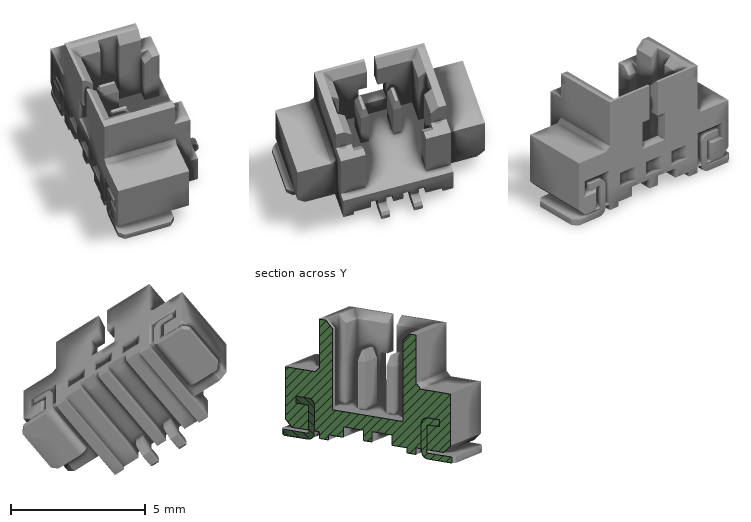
import cadquery as cq

body_half_width = 2.135
housing_half_width = 3.63
housing_top = 4.7
housing_bottom = 0.1
housing_depth = 3.7

ear_depth = 2.8
ear_top = 2.655
ear_bottom = 0.35
ear_bevel = 0.18
ear_corner_chamfer = 0.3

back_wall_y = 3.4
back_wall_top = 3.69
floor_z = 1.3

wall = 0.3
rib_projection = 0.3
lip_chamfer = 0.3
front_wall = 0.405
front_rib_end = 1.2
back_rib_start = 1.95
back_opening_half_width = 1.17
cavity_half_width = body_half_width - wall
rib_half_gap = cavity_half_width - rib_projection

slot_half_width = 0.2
window_half_width = 0.54
window_bottom = 2.11
window_top = 3.26

standoff_width = 0.42
underside_z = 0.3
tail_notch_pitch = 1.25
tail_notch_width = 0.86
tail_notch_top = 0.695

contact_pitch = 1.26
contact_width = 0.32
contact_xs = [-contact_pitch / 2, contact_pitch / 2]

recess_pitch = 1.25
recess_offset = 0.02
recess_width = 0.82
recess_flat_width = 0.51
recess_bottom = 0.9
recess_top = 1.5
recess_depth = 0.2

blade_front = 0.73
blade_depth = 0.8
blade_shoulder = 3.14
blade_tip = 3.54
blade_taper = 0.11

tail_front = 3.18
tail_end = 4.2
tail_height = 0.44
tail_slope_length = 0.41
tail_slope_height = 0.24
tail_end_chamfer = 0.11

clip_thickness = 0.245
clip_reach = 3.825
clip_web_x = 2.35
clip_arm_end = 3.145
clip_top = 1.575
clip_depth = 2.195
clip_inner_radius = 0.05
clip_outer_radius = clip_inner_radius + clip_thickness
clip_foot_chamfer = 0.2
clip_flare = 0.215


def box(x0, x1, y0, y1, z0, z1):
    """Box between two opposite corners."""
    return cq.Workplane("XY").box(x1 - x0, y1 - y0, z1 - z0, centered=False).translate((x0, y0, z0))


def both_sides(shape):
    """The shape together with its mirror image across the middle plane."""
    return shape.union(shape.mirror("YZ"))


def along_y(points, y0, y1):
    """Closed outline of (x, z) points, extruded from y0 to y1."""
    return cq.Workplane("XZ", origin=(0, y0, 0)).polyline(points).close().extrude(y0 - y1)


def along_x(points, x0, x1):
    """Closed outline of (y, z) points, extruded from x0 to x1."""
    return cq.Workplane("YZ", origin=(x0, 0, 0)).polyline(points).close().extrude(x1 - x0)


def housing_block():
    """Stepped central body with a chamfered ear on each side."""
    profile = [
        (0, housing_bottom),
        (housing_depth, housing_bottom),
        (housing_depth, floor_z),
        (back_wall_y, floor_z),
        (back_wall_y, back_wall_top),
        (ear_depth, back_wall_top),
        (ear_depth, housing_top),
        (0, housing_top),
    ]
    body = along_x(profile, -body_half_width, body_half_width)
    ear_outline = [
        (0, ear_bottom),
        (housing_half_width - ear_corner_chamfer, ear_bottom),
        (housing_half_width, ear_bottom + ear_corner_chamfer),
        (housing_half_width, ear_top),
        (body_half_width + ear_bevel, ear_top),
        (body_half_width, ear_top + ear_bevel),
        (0, ear_top + ear_bevel),
    ]
    return body.union(both_sides(along_y(ear_outline, 0, ear_depth)))


def cavity():
    """Open-backed cavity with a lead-in chamfer on its ribs, front wall and back walls."""
    space = box(-rib_half_gap, rib_half_gap, front_wall, ear_depth, floor_z, housing_top)
    space = space.union(
        box(-cavity_half_width, cavity_half_width, front_rib_end, back_rib_start, floor_z, housing_top)
    )
    back_half = back_opening_half_width
    space = space.union(box(-back_half, back_half, front_wall, housing_depth, floor_z, housing_top))
    rib_lead_in = along_y(
        [
            (0, housing_top - lip_chamfer),
            (rib_half_gap, housing_top - lip_chamfer),
            (cavity_half_width, housing_top),
            (0, housing_top),
        ],
        front_wall - lip_chamfer,
        ear_depth,
    )
    front_lead_in = along_x(
        [
            (ear_depth, housing_top - lip_chamfer),
            (front_wall, housing_top - lip_chamfer),
            (front_wall - lip_chamfer, housing_top),
            (ear_depth, housing_top),
        ],
        -cavity_half_width,
        cavity_half_width,
    )
    back_lead_in = along_x(
        [
            (ear_depth, back_wall_top - lip_chamfer),
            (ear_depth + lip_chamfer, back_wall_top),
            (ear_depth, back_wall_top),
        ],
        -rib_half_gap,
        rib_half_gap,
    )
    return space.union(both_sides(rib_lead_in).intersect(front_lead_in)).union(back_lead_in)


def front_opening():
    """Narrow slot above a wider window, both through the front wall."""
    slot = box(-slot_half_width, slot_half_width, 0, front_wall, window_bottom, housing_top)
    window = box(-window_half_width, window_half_width, 0, front_wall, window_bottom, window_top)
    return slot.union(window)


def underside_cut():
    """Clearance between the standoffs, with a deeper notch for each tail."""
    half_span = body_half_width - standoff_width
    cut = box(-half_span, half_span, 0, housing_depth, housing_bottom, underside_z)
    half_notch = tail_notch_width / 2
    for x in (-tail_notch_pitch / 2, tail_notch_pitch / 2):
        cut = cut.union(box(x - half_notch, x + half_notch, 0, housing_depth, housing_bottom, tail_notch_top))
    return cut


def front_recess(x):
    """Shallow recess centred on x, with a sloped right side."""
    left = x - recess_width / 2
    return (
        cq.Workplane("XY", origin=(0, 0, recess_bottom))
        .moveTo(left, 0)
        .lineTo(left, recess_depth)
        .lineTo(left + recess_flat_width, recess_depth)
        .lineTo(left + recess_width, 0)
        .close()
        .extrude(recess_top - recess_bottom)
    )


def clip_flare_outline(margin, y):
    """Outline around the clip's arm and web, the given margin outside them."""
    web_inner = clip_web_x - margin
    web_outer = clip_web_x + clip_thickness + margin
    arm_end = clip_arm_end + margin
    top = clip_top + margin
    arm_bottom = clip_top - clip_thickness - margin
    bottom = ear_bottom + clip_flare - margin
    points = [
        (web_inner, bottom),
        (web_inner, top),
        (arm_end, top),
        (arm_end, arm_bottom),
        (web_outer, arm_bottom),
        (web_outer, bottom),
    ]
    return cq.Wire.makePolygon([cq.Vector(x, y, z) for x, z in points], close=True)


def clip_flare_pocket():
    """Pocket around the right clip, narrowing from the front face to the clip's own outline."""
    outer = clip_flare_outline(clip_flare, 0)
    inner = clip_flare_outline(0, clip_flare)
    return cq.Workplane(cq.Solid.makeLoft([outer, inner], True))


def make_blade(x):
    """Contact blade through the cavity floor, with a pyramid tip."""
    middle = (x, blade_front + blade_depth / 2)
    shank = (
        cq.Workplane("XY", origin=(*middle, tail_notch_top))
        .rect(contact_width, blade_depth)
        .extrude(blade_shoulder - tail_notch_top)
    )
    tip = (
        cq.Workplane("XY", origin=(*middle, blade_shoulder))
        .rect(contact_width, blade_depth)
        .workplane(offset=blade_tip - blade_shoulder)
        .rect(contact_width - 2 * blade_taper, blade_depth - 2 * blade_taper)
        .loft(ruled=True)
    )
    return shank.union(tip)


def make_tail(x):
    """L-shaped tail that hangs from the notch ceiling and reaches out behind the housing."""
    profile = [
        (tail_front, tail_slope_height),
        (tail_front + tail_slope_length, 0),
        (tail_end - tail_end_chamfer, 0),
        (tail_end, tail_end_chamfer),
        (tail_end, tail_height - tail_end_chamfer),
        (tail_end - tail_end_chamfer, tail_height),
        (housing_depth, tail_height),
        (housing_depth, tail_notch_top),
        (tail_front, tail_notch_top),
    ]
    return along_x(profile, x - contact_width / 2, x + contact_width / 2)


def clip_edges_near(x):
    """Selector for the clip edges centred in a slab one clip thickness wide around x."""
    margin = clip_thickness / 2
    low_corner = (x - margin, -margin, -margin)
    high_corner = (x + margin, clip_depth + margin, clip_top + margin)
    return cq.selectors.BoxSelector(low_corner, high_corner)


def make_right_clip():
    """C-shaped clip: short arm on top, upright web, and a long chamfered foot."""
    web_outer = clip_web_x + clip_thickness
    outline = [
        (clip_reach, 0),
        (clip_web_x, 0),
        (clip_web_x, clip_top),
        (clip_arm_end, clip_top),
        (clip_arm_end, clip_top - clip_thickness),
        (web_outer, clip_top - clip_thickness),
        (web_outer, clip_thickness),
        (clip_reach, clip_thickness),
    ]
    return (
        along_y(outline, 0, clip_depth)
        .edges(clip_edges_near(web_outer))
        .edges("|Y")
        .fillet(clip_inner_radius)
        .edges(clip_edges_near(clip_web_x))
        .edges("|Y")
        .fillet(clip_outer_radius)
        .edges("|Z and >X")
        .chamfer(clip_foot_chamfer)
    )


blades = [make_blade(x) for x in contact_xs]
tails = [make_tail(x) for x in contact_xs]
right_clip = make_right_clip()
clips = [right_clip, right_clip.mirror("YZ")]

housing = housing_block().cut(cavity()).cut(front_opening()).cut(underside_cut())
for step in (-1, 0, 1):
    housing = housing.cut(front_recess(recess_offset + step * recess_pitch))
flare_pocket = clip_flare_pocket()
housing = housing.cut(flare_pocket).cut(flare_pocket.mirror("YZ"))
for inserted in blades + clips:
    housing = housing.cut(inserted)

bodies = [housing, *blades, *tails, *clips]
result = cq.Compound.makeCompound([body.solids().val() for body in bodies])